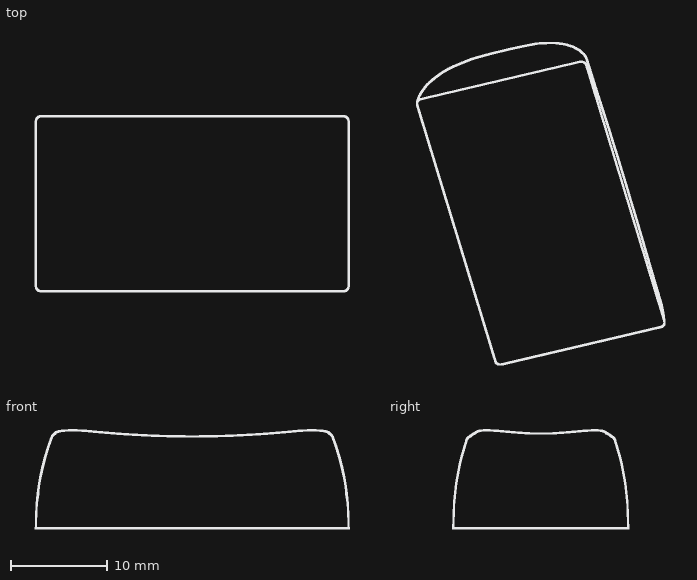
import cadquery as cq
import math

half_length = 16.25
half_width = 9.1
base_corner = 0.55

loft_height = 10.73
section_count = 5
wall_power = 2.2

end_inset = 2.18
side_inset = 1.95
end_bulge = 0.15
side_bulge = 0.8
long_seam_shift = 5.53
short_seam_shift = 5.92
seam_linear_share = 0.6

dish_radius_x = 74.77
dish_radius_y = 25.03
dish_bottom = 8.52
rim_fillet = 0.55


def corner_midpoint(start, end, turn):
    """Middle of the outward arc in the +X +Y corner that turns through `turn`."""
    dx = end[0] - start[0]
    dy = end[1] - start[1]
    rise = math.tan(turn / 4) / 2
    return ((start[0] + end[0]) / 2 - dy * rise, (start[1] + end[1]) / 2 + dx * rise)


def section(level):
    """Closed outline of four crowned sides and four round corners."""
    part = level / loft_height
    curve = part ** wall_power
    seam = seam_linear_share * part + (1 - seam_linear_share) * curve

    end_x = half_length - end_inset * curve
    side_y = half_width - side_inset * curve
    long_x = half_length - base_corner - long_seam_shift * seam
    short_y = half_width - base_corner - short_seam_shift * seam
    crown_share = max(curve, 0.01)
    long_y = side_y - side_bulge * crown_share
    short_x = end_x - end_bulge * crown_share

    long_angle = 2 * math.atan2(side_bulge * crown_share, long_x)
    short_angle = 2 * math.atan2(end_bulge * crown_share, short_y)
    turn = math.pi / 2 - long_angle - short_angle
    mid_x, mid_y = corner_midpoint((long_x, long_y), (short_x, short_y), turn)

    return (
        cq.Workplane("XY", origin=(0, 0, level))
        .moveTo(-long_x, long_y)
        .threePointArc((0, side_y), (long_x, long_y))
        .threePointArc((mid_x, mid_y), (short_x, short_y))
        .threePointArc((end_x, 0), (short_x, -short_y))
        .threePointArc((mid_x, -mid_y), (long_x, -long_y))
        .threePointArc((0, -side_y), (-long_x, -long_y))
        .threePointArc((-mid_x, -mid_y), (-short_x, -short_y))
        .threePointArc((-end_x, 0), (-short_x, short_y))
        .threePointArc((-mid_x, mid_y), (-long_x, long_y))
        .close()
        .val()
    )


levels = [loft_height * i / (section_count - 1) for i in range(section_count)]
body = cq.Workplane(cq.Solid.makeLoft([section(level) for level in levels]))

dish = cq.Solid.makeTorus(
    dish_radius_x - dish_radius_y,
    dish_radius_y,
    cq.Vector(0, 0, dish_bottom + dish_radius_x),
    cq.Vector(0, 1, 0),
)
body = body.cut(cq.Workplane(dish))

result = body.faces("%TORUS").edges().fillet(rim_fillet)